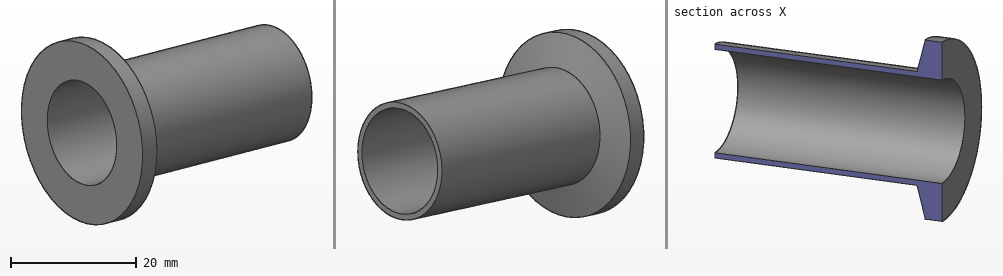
import cadquery as cq
import math

total_length = 40.0
flange_diameter = 30.0
tube_diameter = 19.1
bore_diameter = 17.2
rim_thickness = 3.0
cone_angle = 15.0

flange_radius = flange_diameter / 2
tube_radius = tube_diameter / 2
bore_radius = bore_diameter / 2
cone_height = (flange_radius - tube_radius) * math.tan(math.radians(cone_angle))

face_y = 0.0
rim_back_y = face_y + rim_thickness
cone_back_y = rim_back_y + cone_height
tube_end_y = face_y + total_length


def flanged_tube():
    """Revolve the wall section (radius along X) about the Y axis."""
    section = (
        cq.Workplane("XY")
        .moveTo(bore_radius, face_y)
        .lineTo(flange_radius, face_y)
        .lineTo(flange_radius, rim_back_y)
        .lineTo(tube_radius, cone_back_y)
        .lineTo(tube_radius, tube_end_y)
        .lineTo(bore_radius, tube_end_y)
        .close()
    )
    return section.revolve(360, (0, 0, 0), (0, 1, 0))


result = flanged_tube()